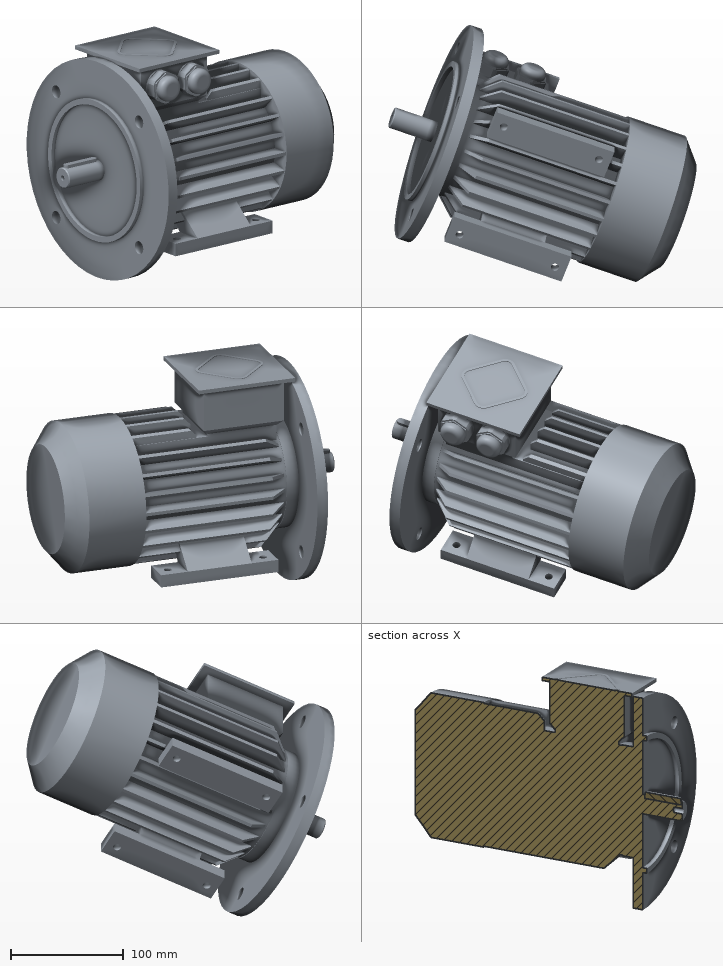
import cadquery as cq
import math


flange_diameter = 200.0
flange_thickness = 10.0
flange_hole_diameter = 12.0
flange_hole_offset = 58.3
spigot_diameter = 130.0
spigot_height = 4.0
spigot_recess_diameter = 120.0
spigot_recess_depth = 4.0
neck_diameter = 105.0
neck_end = 21.3

shaft_diameter = 19.0
shaft_length = 40.0
shaft_chamfer = 0.8
center_hole_diameter = 4.9
center_hole_depth = 8.0
center_hole_tip_depth = 1.4
key_width = 6.0
key_bottom = 6.0
key_top = 12.0
key_tip_gap = 1.5
key_length = 36.5

core_diameter = 104.0
fin_radius = 67.5
fin_thickness = 3.0
fin_pitch_angle = 15
first_fin_angle = -225
last_fin_angle = 45
fin_start = 23.8
fin_start_radius = 53.0
fin_slope_end = 39.5

cowl_diameter = 137.0
cowl_rear_diameter = 98.5
cowl_start = 160.0
cowl_slope_start = 213.8
cowl_end = 230.0

box_center_y = 56.5
box_side = 75.5
box_taper = 5.5
box_taper_bottom = 54.8
lid_side = 91.0
lid_bottom = 98.8
lid_top = 102.3
saddle_half_width = box_side / 2 - box_taper
saddle_front = box_center_y - saddle_half_width
saddle_top = 52.5
badge_side = 49.7
badge_corner_radius = 9.0
badge_frame_width = 2.5
overall_height = 203.0
badge_top = overall_height - flange_diameter / 2

top_fin_pitch = 15.0
top_fins_per_side = 2
top_fin_start = 99.0
top_fin_slope_end = 105.5

gland_center_ys = (39.5, 74.5)
gland_center_z = 80.0
gland_tilt = 3.5
nut_diameter = 29.5
nut_across_flats = 27.3
collar_end = 39.5
nut_end = 47.8
neck_nut_corner_diameter = 27.5
neck_nut_end = 49.0
cap_diameter = 23.2
cap_end = 56.7
cap_fillet = 5.0

foot_bottom = -71.0
foot_top = -59.5
foot_outer_x = 67.0
foot_width = 25.6
foot_center_y = 90.2
foot_length = 110.7
foot_hole_diameter = 7.0
foot_hole_x = 56.0
foot_hole_spacing = 90.2
web_length = 60.5
web_root_outer = (-34.0, -29.7)
web_root_inner = (-27.0, -37.8)


def y_cylinder(diameter, y_start, y_end):
    """Cylinder on the motor axis."""
    disc = cq.Workplane("XZ", origin=(0, y_start, 0)).circle(diameter / 2)
    return disc.extrude(y_start - y_end)


def x_plane(x, center_y):
    """Workplane facing +X, centred on a gland axis."""
    return cq.Workplane("YZ", origin=(x, center_y, gland_center_z))


def make_flange():
    flange = y_cylinder(flange_diameter, 0, flange_thickness)
    hole_square = 2 * flange_hole_offset
    holes = (
        cq.Workplane("XZ")
        .rect(hole_square, hole_square, forConstruction=True)
        .vertices()
        .circle(flange_hole_diameter / 2)
        .extrude(-flange_thickness)
    )
    spigot = y_cylinder(spigot_diameter, -spigot_height, 0)
    recess_floor = spigot_recess_depth - spigot_height
    recess = y_cylinder(spigot_recess_diameter, -spigot_height, recess_floor)
    return flange.cut(holes).union(spigot).cut(recess)


def make_shaft():
    shaft = y_cylinder(shaft_diameter, -shaft_length, 0).faces("<Y").chamfer(shaft_chamfer)
    hole_radius = center_hole_diameter / 2
    hole_end = center_hole_depth - shaft_length
    hole_profile = [
        (0, -shaft_length),
        (hole_radius, -shaft_length),
        (hole_radius, hole_end),
        (0, hole_end + center_hole_tip_depth),
    ]
    center_hole = cq.Workplane("XY").polyline(hole_profile).close()
    return shaft.cut(center_hole.revolve(360, (0, 0, 0), (0, 1, 0)))


def make_key():
    """Round-ended key lying in the top of the shaft."""
    center_y = key_tip_gap - shaft_length + key_length / 2
    return (
        cq.Workplane("XY", origin=(0, center_y, key_bottom))
        .slot2D(key_length, key_width, angle=90)
        .extrude(key_top - key_bottom)
    )


def make_radial_fin(angle):
    """Fin running along the core, sloping down to the core at its flange end."""
    outline = [
        (0, fin_start),
        (fin_start_radius, fin_start),
        (fin_radius, fin_slope_end),
        (fin_radius, cowl_start),
        (0, cowl_start),
    ]
    fin = cq.Workplane("XY").polyline(outline).close().extrude(fin_thickness / 2, both=True)
    return fin.rotate((0, 0, 0), (0, 1, 0), -angle)


def make_core():
    core = y_cylinder(neck_diameter, flange_thickness, neck_end)
    core = core.union(y_cylinder(core_diameter, neck_end, cowl_start))
    for angle in range(first_fin_angle, last_fin_angle + 1, fin_pitch_angle):
        core = core.union(make_radial_fin(angle))
    return core


def make_cowl():
    profile = [
        (0, cowl_start),
        (cowl_diameter / 2, cowl_start),
        (cowl_diameter / 2, cowl_slope_start),
        (cowl_rear_diameter / 2, cowl_end),
        (0, cowl_end),
    ]
    return cq.Workplane("XY").polyline(profile).close().revolve(360, (0, 0, 0), (0, 1, 0))


def make_saddle():
    """Flat-topped block along the top of the core, with upright fins behind the terminal box."""
    saddle = cq.Workplane("XY").box(
        2 * saddle_half_width, cowl_start - saddle_front, saddle_top, centered=(True, False, False)
    )
    saddle = saddle.translate((0, saddle_front, 0))
    slope_drop = top_fin_slope_end - top_fin_start
    tip_envelope = y_cylinder(2 * fin_radius, top_fin_start, cowl_start)
    for index in range(-top_fins_per_side, top_fins_per_side + 1):
        x = index * top_fin_pitch
        tip = math.sqrt(fin_radius**2 - max(0, abs(x) - fin_thickness / 2) ** 2)
        outline = [
            (top_fin_start, 0),
            (top_fin_start, tip - slope_drop),
            (top_fin_slope_end, tip),
            (cowl_start, tip),
            (cowl_start, 0),
        ]
        fin = cq.Workplane("YZ", origin=(x, 0, 0)).polyline(outline).close()
        fin = fin.extrude(fin_thickness / 2, both=True).intersect(tip_envelope)
        saddle = saddle.union(fin)
    return saddle


def make_badge_frame():
    """Raised rounded-square frame, turned 45 degrees on the lid."""
    height = badge_top - lid_top
    base = cq.Workplane("XY", origin=(0, box_center_y, lid_top)).transformed(rotate=(0, 0, 45))
    outer = base.rect(badge_side, badge_side).extrude(height)
    outer = outer.edges("|Z").fillet(badge_corner_radius)
    inner_side = badge_side - 2 * badge_frame_width
    inner = base.rect(inner_side, inner_side).extrude(height)
    inner = inner.edges("|Z").fillet(badge_corner_radius - badge_frame_width)
    return outer.cut(inner)


def make_terminal_box():
    base = cq.Workplane("XY", origin=(0, box_center_y, 0))
    foot_side = 2 * saddle_half_width
    taper_top = box_taper_bottom + box_taper
    pedestal = base.rect(foot_side, foot_side).extrude(box_taper_bottom)
    taper = (
        base.workplane(offset=box_taper_bottom)
        .rect(foot_side, foot_side)
        .workplane(offset=box_taper)
        .rect(box_side, box_side)
        .loft(ruled=True)
    )
    walls = base.workplane(offset=taper_top).rect(box_side, box_side).extrude(lid_bottom - taper_top)
    lid = base.workplane(offset=lid_bottom).rect(lid_side, lid_side).extrude(lid_top - lid_bottom)
    return pedestal.union(taper).union(walls).union(lid).union(make_badge_frame())


def make_gland(center_y):
    """Cable gland: round collar, corner-rounded hex nut, smaller hex and rounded cap."""
    wall_x = box_side / 2
    collar = x_plane(wall_x, center_y).circle(nut_diameter / 2).extrude(collar_end - wall_x)
    corner_angle = 90 + gland_tilt
    nut_corner_diameter = nut_across_flats / math.cos(math.radians(30))
    nut_plane = x_plane(collar_end, center_y).transformed(rotate=(0, 0, corner_angle))
    nut = nut_plane.polygon(6, nut_corner_diameter).extrude(nut_end - collar_end)
    rounding = x_plane(collar_end, center_y).circle(nut_diameter / 2).extrude(nut_end - collar_end)
    neck_plane = x_plane(nut_end, center_y).transformed(rotate=(0, 0, corner_angle))
    neck_nut = neck_plane.polygon(6, neck_nut_corner_diameter).extrude(neck_nut_end - nut_end)
    cap = x_plane(neck_nut_end, center_y).circle(cap_diameter / 2).extrude(cap_end - neck_nut_end)
    cap = cap.faces(">X").edges().fillet(cap_fillet)
    return collar.union(nut.intersect(rounding)).union(neck_nut).union(cap)


def make_foot():
    """Foot pad on the -X side, with the sloping web that joins it to the core."""
    inner_x = foot_outer_x - foot_width
    pad = (
        cq.Workplane("XY", origin=(-foot_outer_x + foot_width / 2, foot_center_y, foot_bottom))
        .rect(foot_width, foot_length)
        .extrude(foot_top - foot_bottom)
    )
    holes = (
        cq.Workplane("XY", origin=(-foot_hole_x, foot_center_y, foot_bottom))
        .rarray(2.7, foot_hole_spacing, 1, 2)
        .circle(foot_hole_diameter / 2)
        .extrude(foot_top - foot_bottom)
    )
    web_outline = [(-foot_outer_x, foot_top), web_root_outer, web_root_inner, (-inner_x, foot_top)]
    web = (
        cq.Workplane("XZ", origin=(0, foot_center_y, 0))
        .polyline(web_outline)
        .close()
        .extrude(web_length / 2, both=True)
    )
    return pad.cut(holes).union(web)


key = make_key()

motor = make_core().union(make_flange()).union(make_shaft()).union(make_cowl())
motor = motor.union(make_saddle()).union(make_terminal_box())
for gland_y in gland_center_ys:
    motor = motor.union(make_gland(gland_y))
left_foot = make_foot()
motor = motor.union(left_foot).union(left_foot.mirror("YZ"))
motor = motor.cut(key)

result = cq.Compound.makeCompound([motor.val(), key.val()])